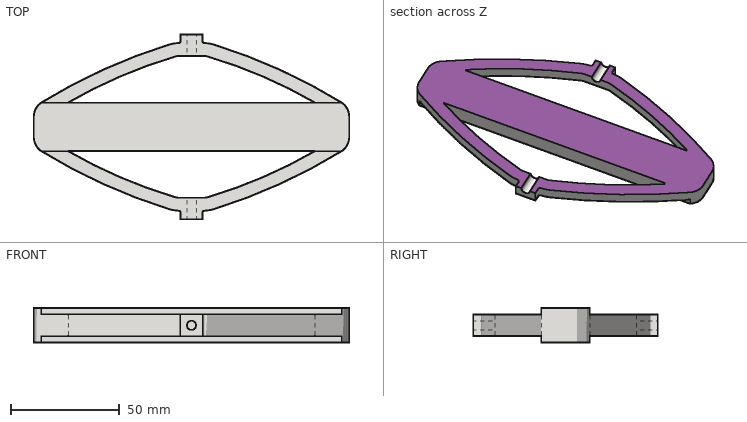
import cadquery as cq

length = 145.1
bar_width = 22.3
height = 16.0
end_flat_width = 9.3
corner_setback = 3.5

arm_height = 10.0
overall_width = 85.0
tab_width = 10.2
hole_diameter = 4.2

half_length = length / 2
half_width = bar_width / 2
corner_x = half_length - corner_setback
half_flat = end_flat_width / 2

outer_mid = (43.2, 25.1)
outer_top = (10.3, 37.9)
crown_radius = 18.9
tab_fillet = 0.9
crown_end = (tab_width / 2 + tab_fillet, 38.6)
tab_root = (tab_width / 2, crown_end[1] + tab_fillet)
inner_pad_y = 32.5
inner_pad_end = (6.1, inner_pad_y)
inner_top = (8.1, 32.0)
pad_radius = 6.5
inner_mid = (35.8, 21.8)
inner_foot = (56.6, half_width)


def mirror_x(point):
    return (-point[0], point[1])


def make_bar():
    """Bar whose rounded corners are tangent to its end faces only."""
    corner_rise = half_width - half_flat
    corner_radius = (corner_setback**2 + corner_rise**2) / (2 * corner_setback)
    return (
        cq.Workplane("XY")
        .workplane(offset=-height / 2)
        .moveTo(-corner_x, half_width)
        .lineTo(corner_x, half_width)
        .radiusArc((half_length, half_flat), corner_radius)
        .lineTo(half_length, -half_flat)
        .radiusArc((corner_x, -half_width), corner_radius)
        .lineTo(-corner_x, -half_width)
        .radiusArc((-half_length, -half_flat), corner_radius)
        .lineTo(-half_length, half_flat)
        .radiusArc((-corner_x, half_width), corner_radius)
        .close()
        .extrude(height)
    )


def make_arm():
    """Bowed arm on the +Y side with a drilled tab; its feet run into the bar."""
    tab_y = overall_width / 2
    arm = (
        cq.Workplane("XY")
        .workplane(offset=-arm_height / 2)
        .moveTo(-corner_x, half_width)
        .threePointArc(mirror_x(outer_mid), mirror_x(outer_top))
        .radiusArc(mirror_x(crown_end), crown_radius)
        .radiusArc(mirror_x(tab_root), -tab_fillet)
        .lineTo(-tab_width / 2, tab_y)
        .lineTo(tab_width / 2, tab_y)
        .lineTo(*tab_root)
        .radiusArc(crown_end, -tab_fillet)
        .radiusArc(outer_top, crown_radius)
        .threePointArc(outer_mid, (corner_x, half_width))
        .lineTo(corner_x, 0)
        .lineTo(inner_foot[0], 0)
        .lineTo(*inner_foot)
        .threePointArc(inner_mid, inner_top)
        .radiusArc(inner_pad_end, -pad_radius)
        .lineTo(*mirror_x(inner_pad_end))
        .radiusArc(mirror_x(inner_top), -pad_radius)
        .threePointArc(mirror_x(inner_mid), mirror_x(inner_foot))
        .lineTo(-inner_foot[0], 0)
        .lineTo(-corner_x, 0)
        .close()
        .extrude(arm_height)
    )
    hole = (
        cq.Workplane("XZ", origin=(0, tab_y, 0))
        .circle(hole_diameter / 2)
        .extrude(tab_y - inner_pad_y)
    )
    return arm.cut(hole)


arm = make_arm()
result = make_bar().union(arm).union(arm.mirror("XZ"))